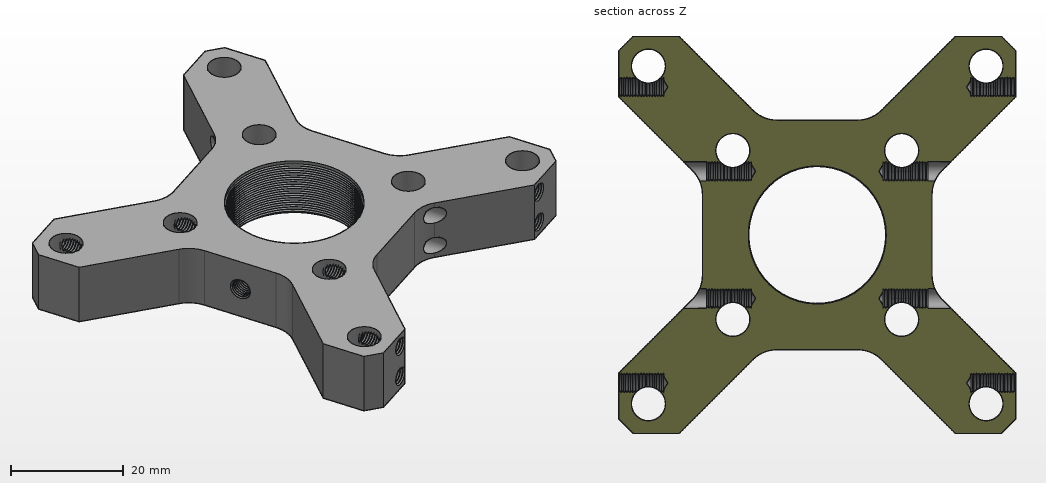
import cadquery as cq
import math

overall_width = 70.61
half_width = overall_width / 2
thickness = 12.0
half_thickness = thickness / 2
hub_width = 40.85
half_hub = hub_width / 2
arm_width = 15.2
arm_tip_distance = 48.1
arm_root_radius = 6.0

rod_hole_diameter = 6.0
inner_rod_offset = 15.0
outer_rod_offset = 30.0

thread_pitch = 0.5
drill_point_angle = 118.0

bore_major_diameter = 24.8
bore_minor_diameter = 24.3
bore_lead_length = 0.65
bore_bottom_chamfer = 0.85

screw_major_diameter = 3.4
screw_minor_diameter = 2.8
screw_pilot_diameter = 2.4
screw_to_rod_distance = 3.7
screw_z_offset = 3.3
screw_thread_length = 8.0
inner_screw_thread_start = 19.7

mount_major_diameter = 4.0
mount_minor_diameter = 3.45
mount_pilot_diameter = 3.0
mount_thread_length = 6.0


def thread_profile(major_diameter, minor_diameter, start, length):
    """Zigzag of (radius, height) points along a ring-grooved thread, root at both ends."""
    groove_count = round(length / thread_pitch)
    points = []
    for groove in range(groove_count):
        height = start + groove * thread_pitch
        points.append((major_diameter / 2, height))
        points.append((minor_diameter / 2, height + thread_pitch / 2))
    points.append((major_diameter / 2, start + groove_count * thread_pitch))
    return points


def revolved_cutter(profile):
    """Revolve (radius, height) points about Z."""
    return cq.Workplane("XZ").polyline(profile).close().revolve(360, (0, 0), (0, 1)).val()


def tapped_hole_cutter(major_diameter, minor_diameter, pilot_diameter, entry_length, thread_length):
    """Plain entry, thread and conical drill point, running along +Z from the origin."""
    pilot_radius = pilot_diameter / 2
    thread_end = entry_length + thread_length
    point_height = pilot_radius / math.tan(math.radians(drill_point_angle / 2))
    profile = [(0, 0)]
    if entry_length > 0:
        profile.append((major_diameter / 2, 0))
    profile += thread_profile(major_diameter, minor_diameter, entry_length, thread_length)
    profile += [(pilot_radius, thread_end), (0, thread_end + point_height)]
    return revolved_cutter(profile)


def placed(cutter, start, direction):
    """Move a cutter's start to a point and turn its axis to a direction."""
    return cutter.moved(cq.Plane(origin=start, normal=direction).location)


def make_cross():
    """Square hub with four diagonal arms, their outer corners cut square to the arms."""
    cross = cq.Workplane("XY").box(hub_width, hub_width, thickness)
    arm_pair = cq.Workplane("XY").box(2 * arm_tip_distance, arm_width, thickness)
    for angle in (45, 135):
        cross = cross.union(arm_pair.rotate((0, 0, 0), (0, 0, 1), angle))
    cross = cross.intersect(cq.Workplane("XY").box(overall_width, overall_width, thickness))

    root_zone_half = (half_hub + half_width) / 2
    arm_roots = cq.selectors.BoxSelector(
        (-root_zone_half, -root_zone_half, -thickness),
        (root_zone_half, root_zone_half, thickness),
    )
    return cross.edges("|Z").edges(arm_roots).fillet(arm_root_radius)


def cut_rod_holes(body):
    centres = [
        (x_side * offset, y_side * offset)
        for offset in (inner_rod_offset, outer_rod_offset)
        for x_side in (-1, 1)
        for y_side in (-1, 1)
    ]
    holes = cq.Workplane("XY").pushPoints(centres).circle(rod_hole_diameter / 2)
    return body.cut(holes.extrude(thickness, both=True))


def bore_cutter():
    """Centre bore: bottom chamfer, thread and top lead."""
    major_radius = bore_major_diameter / 2
    thread_start = bore_bottom_chamfer - half_thickness
    thread_length = thickness - bore_bottom_chamfer - bore_lead_length
    profile = [(0, -half_thickness), (major_radius + bore_bottom_chamfer, -half_thickness)]
    profile += thread_profile(bore_major_diameter, bore_minor_diameter, thread_start, thread_length)
    profile += [(major_radius, half_thickness), (0, half_thickness)]
    return revolved_cutter(profile)


def clamp_screw_cutters():
    """Holes along X, from the -X and +X sides, that break into the rod holes."""
    cutters = []
    for rod_offset, thread_start in (
        (inner_rod_offset, inner_screw_thread_start),
        (outer_rod_offset, half_width),
    ):
        cutter = tapped_hole_cutter(
            screw_major_diameter,
            screw_minor_diameter,
            screw_pilot_diameter,
            half_width - thread_start,
            screw_thread_length,
        )
        screw_y = rod_offset - screw_to_rod_distance
        for x_side in (-1, 1):
            for y_side in (-1, 1):
                for z in (-screw_z_offset, screw_z_offset):
                    start = (x_side * half_width, y_side * screw_y, z)
                    cutters.append(placed(cutter, start, (-x_side, 0, 0)))
    return cutters


def mount_hole_cutter():
    cutter = tapped_hole_cutter(
        mount_major_diameter, mount_minor_diameter, mount_pilot_diameter, 0, mount_thread_length
    )
    return placed(cutter, (0, -half_hub, 0), (0, 1, 0))


threaded_holes = [bore_cutter(), mount_hole_cutter()] + clamp_screw_cutters()
result = cut_rod_holes(make_cross())
result = result.cut(cq.Workplane(cq.Compound.makeCompound(threaded_holes)))